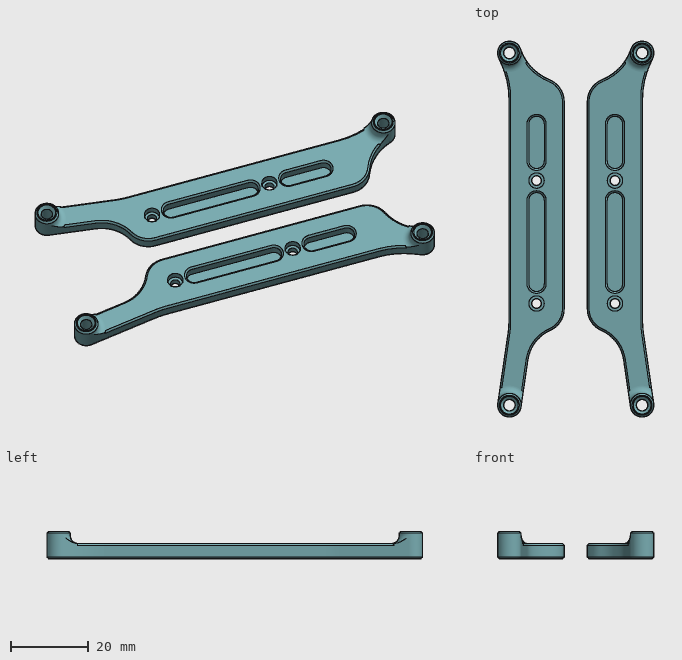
import cadquery as cq
import math

WIDTH = 40.1
LENGTH = 96.5
EDGE_CHAMFER = 0.5

PLATE_HEIGHT = 4.0
RAIL_GAP = 5.9
INNER_X = RAIL_GAP / 2
OUTER_X = 17.2

BOSS_HEIGHT = 7.0
BOSS_RADIUS = 6.1 / 2
BOSS_X = WIDTH / 2 - BOSS_RADIUS
BOSS_Y = LENGTH / 2 - BOSS_RADIUS
BOSS_YS = [BOSS_Y, -BOSS_Y]
BOSS_HOLE_DIAMETER = 2.9
BOSS_SINK_DIAMETER = 4.5
BOSS_SINK_ANGLE = 90.0
FLARE_RADIUS = 1.9
FLARE_TOP = PLATE_HEIGHT + FLARE_RADIUS

SHOULDER_RADIUS = 6.1
BACK_SHOULDER_Y = 32.7
BACK_NECK_RADIUS = 12.9
FRONT_SHOULDER_Y = -20.5
FRONT_NECK_RADIUS = 9.8

BACK_FLANK_ANGLE = math.radians(23.4)
BACK_BEND_RADIUS = 21.2
ARM_ANGLE = math.radians(8.3)
FRONT_BEND_RADIUS = 23.2

CENTRE_X = (INNER_X + OUTER_X) / 2
SCREW_YS = [12.45, -19.1]
SCREW_DIAMETER = 2.4
SCREW_HEAD_DIAMETER = 4.0
SCREW_HEAD_DEPTH = 2.0
POCKET_WIDTH = 4.0
POCKET_DEPTH = 3.0
POCKET_CHAMFER = 0.5
POCKET_SCREW_GAP = 2.6
BACK_POCKET_END_Y = 29.4
POCKET_SPANS = [
    (SCREW_YS[0] + POCKET_SCREW_GAP, BACK_POCKET_END_Y),
    (SCREW_YS[1] + POCKET_SCREW_GAP, SCREW_YS[0] - POCKET_SCREW_GAP),
]


def point_between(start, end, distance):
    """Point on the line from start to end, at a distance from start."""
    ratio = distance / math.dist(start, end)
    return (start[0] + ratio * (end[0] - start[0]), start[1] + ratio * (end[1] - start[1]))


def back_neck_centre(shoulder_centre, boss_centre):
    """Centre of the neck arc that touches both the back shoulder and the back boss."""
    to_shoulder = SHOULDER_RADIUS + BACK_NECK_RADIUS
    to_boss = BOSS_RADIUS + BACK_NECK_RADIUS
    span = math.dist(shoulder_centre, boss_centre)
    along = (to_shoulder**2 - to_boss**2 + span**2) / (2 * span)
    across = math.sqrt(to_shoulder**2 - along**2)
    foot_x, foot_y = point_between(shoulder_centre, boss_centre, along)
    unit_x = (boss_centre[0] - shoulder_centre[0]) / span
    unit_y = (boss_centre[1] - shoulder_centre[1]) / span
    return (foot_x - across * unit_y, foot_y + across * unit_x)


def front_neck_centre(shoulder_centre, boss_centre, arm_direction, arm_inward):
    """Centre of the neck arc that touches the front shoulder and the arm's inner flank."""
    dx = shoulder_centre[0] - boss_centre[0]
    dy = shoulder_centre[1] - boss_centre[1]
    shoulder_along = dx * arm_direction[0] + dy * arm_direction[1]
    shoulder_across = dx * arm_inward[0] + dy * arm_inward[1]
    across = BOSS_RADIUS + FRONT_NECK_RADIUS
    reach = SHOULDER_RADIUS + FRONT_NECK_RADIUS
    along = shoulder_along - math.sqrt(reach**2 - (across - shoulder_across) ** 2)
    return (
        boss_centre[0] + along * arm_direction[0] + across * arm_inward[0],
        boss_centre[1] + along * arm_direction[1] + across * arm_inward[1],
    )


def outer_flank(end, angle, bend_radius):
    """Points of an outer flank: on the boss, at the start of its bend, and at the bend's end on the side.

    end is +1 for the back and -1 for the front; angle is measured from the Y axis.
    """
    on_boss = (
        BOSS_X + BOSS_RADIUS * math.cos(angle),
        end * (BOSS_Y - BOSS_RADIUS * math.sin(angle)),
    )
    corner = (OUTER_X, on_boss[1] - end * (on_boss[0] - OUTER_X) / math.tan(angle))
    tangent_length = bend_radius * math.tan(angle / 2)
    bend_start = point_between(corner, on_boss, tangent_length)
    bend_end = (OUTER_X, corner[1] - end * tangent_length)
    return on_boss, bend_start, bend_end


def make_outline():
    """Closed outline of a rail; every arc runs on smoothly from the edge before it."""
    back_boss = (BOSS_X, BOSS_Y)
    back_shoulder = (INNER_X + SHOULDER_RADIUS, BACK_SHOULDER_Y)
    back_neck = back_neck_centre(back_shoulder, back_boss)
    back_joint = point_between(back_shoulder, back_neck, SHOULDER_RADIUS)
    back_boss_inner = point_between(back_boss, back_neck, BOSS_RADIUS)
    back_boss_outer, back_bend_start, back_bend_end = outer_flank(1, BACK_FLANK_ANGLE, BACK_BEND_RADIUS)

    front_boss = (BOSS_X, -BOSS_Y)
    front_shoulder = (INNER_X + SHOULDER_RADIUS, FRONT_SHOULDER_Y)
    arm_direction = (-math.sin(ARM_ANGLE), math.cos(ARM_ANGLE))
    arm_inward = (-math.cos(ARM_ANGLE), -math.sin(ARM_ANGLE))
    front_neck = front_neck_centre(front_shoulder, front_boss, arm_direction, arm_inward)
    front_joint = point_between(front_shoulder, front_neck, SHOULDER_RADIUS)
    front_neck_end = (
        front_neck[0] - FRONT_NECK_RADIUS * arm_inward[0],
        front_neck[1] - FRONT_NECK_RADIUS * arm_inward[1],
    )
    front_boss_inner = (
        front_boss[0] + BOSS_RADIUS * arm_inward[0],
        front_boss[1] + BOSS_RADIUS * arm_inward[1],
    )
    front_boss_outer, front_bend_start, front_bend_end = outer_flank(-1, ARM_ANGLE, FRONT_BEND_RADIUS)

    return (
        cq.Workplane("XY")
        .moveTo(INNER_X, FRONT_SHOULDER_Y)
        .lineTo(INNER_X, BACK_SHOULDER_Y)
        .tangentArcPoint(back_joint, relative=False)
        .tangentArcPoint(back_boss_inner, relative=False)
        .tangentArcPoint(back_boss_outer, relative=False)
        .lineTo(*back_bend_start)
        .tangentArcPoint(back_bend_end, relative=False)
        .lineTo(*front_bend_end)
        .tangentArcPoint(front_bend_start, relative=False)
        .lineTo(*front_boss_outer)
        .tangentArcPoint(front_boss_inner, relative=False)
        .lineTo(*front_neck_end)
        .tangentArcPoint(front_joint, relative=False)
        .tangentArcPoint((INNER_X, FRONT_SHOULDER_Y), relative=False)
        .close()
    )


def make_plate():
    plate = make_outline().extrude(PLATE_HEIGHT)
    return plate.faces("<Z or >Z").edges().chamfer(EDGE_CHAMFER)


def make_flare(y):
    """Lower part of a boss with its concave flare, trimmed flush with the sides of the rail."""
    flare_edge = BOSS_RADIUS + FLARE_RADIUS
    arc_inset = FLARE_RADIUS * (1 - math.sqrt(0.5))
    flare = (
        cq.Workplane("XZ")
        .moveTo(0, EDGE_CHAMFER)
        .lineTo(flare_edge, EDGE_CHAMFER)
        .lineTo(flare_edge, PLATE_HEIGHT)
        .threePointArc((BOSS_RADIUS + arc_inset, PLATE_HEIGHT + arc_inset), (BOSS_RADIUS, FLARE_TOP))
        .lineTo(0, FLARE_TOP)
        .close()
        .revolve(360, (0, 0, 0), (0, 1, 0))
        .translate((BOSS_X, y, 0))
    )
    return flare.intersect(make_outline().extrude(FLARE_TOP))


def make_boss_top(y):
    """Upper part of a boss, standing on its flare, with a chamfered rim."""
    boss_top = (
        cq.Workplane("XY", origin=(BOSS_X, y, FLARE_TOP))
        .circle(BOSS_RADIUS)
        .extrude(BOSS_HEIGHT - FLARE_TOP)
    )
    return boss_top.faces(">Z").edges().chamfer(EDGE_CHAMFER)


def cut_boss_holes(rail):
    """Through holes in both bosses, countersunk at the top."""
    return (
        rail.copyWorkplane(cq.Workplane("XY", origin=(0, 0, BOSS_HEIGHT)))
        .pushPoints([(BOSS_X, y) for y in BOSS_YS])
        .cskHole(BOSS_HOLE_DIAMETER, BOSS_SINK_DIAMETER, BOSS_SINK_ANGLE)
    )


def cut_screw_holes(rail):
    """Counterbored through holes along the plate's centre line."""
    return (
        rail.copyWorkplane(cq.Workplane("XY", origin=(0, 0, PLATE_HEIGHT)))
        .pushPoints([(CENTRE_X, y) for y in SCREW_YS])
        .cboreHole(SCREW_DIAMETER, SCREW_HEAD_DIAMETER, SCREW_HEAD_DEPTH)
    )


def make_pocket(start_y, end_y):
    """Cutter for a round-ended blind pocket whose chamfered mouth runs from start_y to end_y."""
    floor_z = PLATE_HEIGHT - POCKET_DEPTH
    middle_y = (start_y + end_y) / 2
    length = end_y - start_y - 2 * POCKET_CHAMFER
    well = (
        cq.Workplane("XY", origin=(CENTRE_X, middle_y, floor_z))
        .slot2D(length, POCKET_WIDTH, 90)
        .extrude(POCKET_DEPTH)
    )
    mouth = (
        cq.Workplane("XY", origin=(CENTRE_X, middle_y, PLATE_HEIGHT))
        .slot2D(length + 2 * POCKET_CHAMFER, POCKET_WIDTH + 2 * POCKET_CHAMFER, 90)
        .extrude(-POCKET_CHAMFER, taper=45)
    )
    return well.union(mouth)


def make_rail():
    rail = make_plate()
    for y in BOSS_YS:
        rail = rail.union(make_flare(y))
    for y in BOSS_YS:
        rail = rail.union(make_boss_top(y))
    rail = cut_boss_holes(rail)
    rail = cut_screw_holes(rail)
    for start_y, end_y in POCKET_SPANS:
        rail = rail.cut(make_pocket(start_y, end_y))
    return rail


right_rail = make_rail()
rails = [right_rail, right_rail.mirror("YZ")]
result = cq.Compound.makeCompound([rail.val() for rail in rails])